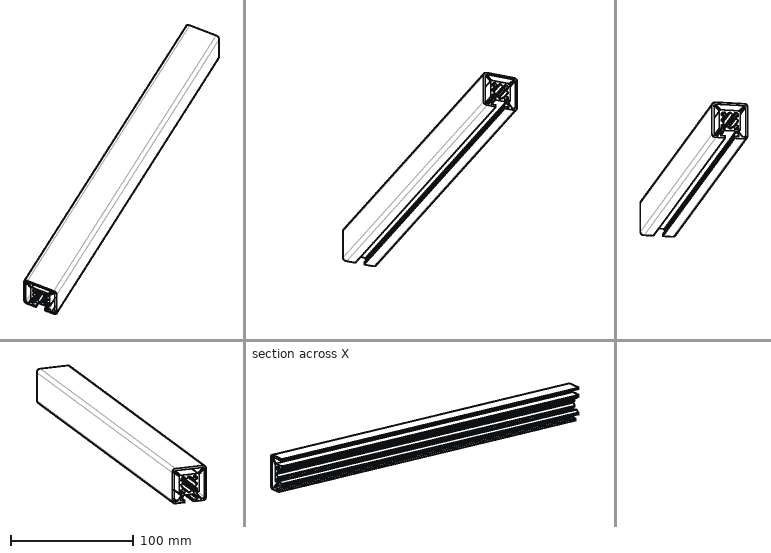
import cadquery as cq

length = 300.0
side = 30.0
half_side = side / 2

shell_wall = 1.8
outer_radius = 3.0
inner_radius = outer_radius - shell_wall
slot_width = 7.8
lip_top = shell_wall - half_side

tube_half = 8.7
tube_wall = 1.8
bore_half = tube_half - tube_wall
bore_chamfer = 1.2

tooth_height = 1.8
tooth_base_start = 0.3
tooth_base_end = 4.2
tooth_tip_start = 2.5
tooth_tip_end = 3.3

web_thickness = 1.35
web_half_offset = web_thickness / 2 ** 0.5
web_outer = half_side - shell_wall

foot_inner_top = 5.0
foot_inner_shoulder = -9.5
foot_inner_side = 7.5
foot_inner_knee = -11.5
foot_outer_side = 10.5
overlap = 0.3


def extrude_outline(points):
    """Extrude a closed XZ outline along the whole length."""
    return cq.Workplane("XZ").polyline(points).close().extrude(length)


def square_bar(width):
    return cq.Workplane("XZ").rect(width, width).extrude(length)


def mirrored_pair(points):
    """Extrude an outline together with its mirror image about X = 0."""
    mirrored = [(-x, z) for x, z in points]
    return extrude_outline(points).union(extrude_outline(mirrored))


def make_shell():
    outer = square_bar(side).edges("|Y").fillet(outer_radius)
    inner = square_bar(side - 2 * shell_wall).edges("|Y").fillet(inner_radius)
    slot = cq.Workplane("XZ").center(0, -half_side).rect(slot_width, 4 * shell_wall).extrude(length)
    return outer.cut(inner).cut(slot)


def make_tube():
    bore = square_bar(2 * bore_half).edges("|Y").chamfer(bore_chamfer)
    tube = square_bar(2 * tube_half).cut(bore)
    notch = [
        (bore_half, -bore_half),
        (tube_half, -bore_half),
        (tube_half, -tube_half),
        (bore_half, -tube_half),
    ]
    return tube.cut(mirrored_pair(notch))


def make_teeth():
    """Two teeth on each of the four bore walls."""
    root = bore_half + overlap
    tip = bore_half - tooth_height
    top_pair = mirrored_pair([
        (tooth_base_start, root),
        (tooth_base_start, bore_half),
        (tooth_tip_start, tip),
        (tooth_tip_end, tip),
        (tooth_base_end, bore_half),
        (tooth_base_end, root),
    ])
    teeth = top_pair
    for angle in (90, 180, 270):
        teeth = teeth.union(top_pair.rotate((0, 0, 0), (0, 1, 0), angle))
    return teeth


def make_webs():
    web_inner = tube_half - web_half_offset
    return mirrored_pair([
        (web_inner, web_inner + web_half_offset),
        (web_outer, web_outer + web_half_offset),
        (web_outer + web_half_offset, web_outer),
        (web_inner + web_half_offset, web_inner),
    ])


def make_feet():
    foot_root = lip_top - overlap
    return mirrored_pair([
        (bore_half, overlap - tube_half),
        (foot_inner_top, overlap - tube_half),
        (foot_inner_top, foot_inner_shoulder),
        (foot_inner_side, foot_inner_knee),
        (foot_inner_side, foot_root),
        (foot_outer_side, foot_root),
        (foot_outer_side, lip_top),
        (bore_half, -tube_half),
    ])


profile = make_shell().union(make_tube()).union(make_teeth()).union(make_webs()).union(make_feet())

result = profile.translate((0, length / 2, 0))